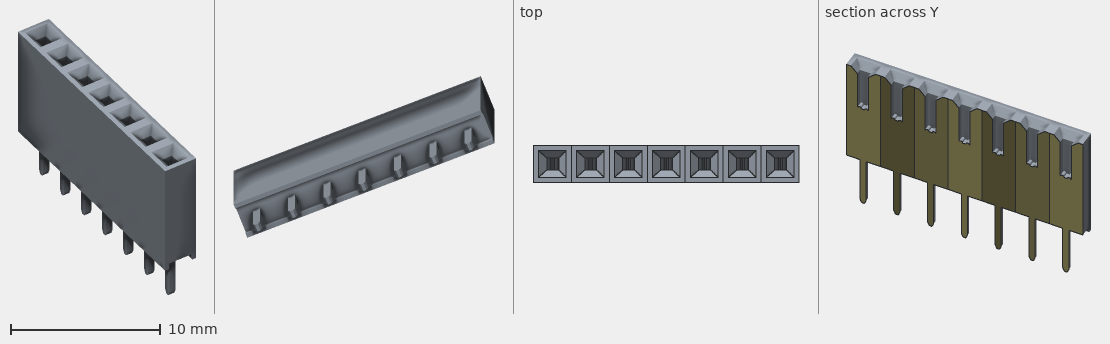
import cadquery as cq

socket_count = 7
pitch = 2.54
row_depth = 2.48
overall_height = 11.88
tail_length = 3.3
body_height = overall_height - tail_length

foot_width = 0.3
channel_width = row_depth - 2 * foot_width
channel_height = 0.48

contact_offset = 0.03

rim = 0.35
funnel_width_x = pitch - 2 * rim
funnel_width_y = row_depth - 2 * rim
funnel_depth = 0.5
hole_side = 0.8
hole_depth = 3.0
hole_floor = body_height - funnel_depth - hole_depth

rib_gap = 0.22
rib_width = (hole_side - rib_gap) / 2
rib_radius = rib_width / 2
cusp_height = 0.015

tail_side = 0.5
tip_height = 0.32
tip_width = 0.22


def make_funnel():
    """Tapered entry, widest at the top face."""
    return (
        cq.Workplane("XY", origin=(0, 0, body_height))
        .rect(funnel_width_x, funnel_width_y)
        .workplane(offset=-funnel_depth)
        .center(contact_offset, 0)
        .rect(hole_side, hole_side)
        .loft(ruled=True)
    )


def make_contact_hole():
    """Square hole whose floor carries the contact ribs and the cusp between them."""
    half_side = hole_side / 2
    half_gap = rib_gap / 2
    rib_center = half_gap + rib_radius
    rib_top = hole_floor + rib_radius
    cusp_middle = (half_gap / 2, hole_floor + cusp_height / 4)
    return (
        cq.Workplane("XZ", origin=(0, half_side, 0))
        .moveTo(-half_side, body_height - funnel_depth)
        .lineTo(-half_side, hole_floor)
        .threePointArc((-rib_center, rib_top), (-half_gap, hole_floor))
        .threePointArc((-cusp_middle[0], cusp_middle[1]), (0, hole_floor + cusp_height))
        .threePointArc(cusp_middle, (half_gap, hole_floor))
        .threePointArc((rib_center, rib_top), (half_side, hole_floor))
        .lineTo(half_side, body_height - funnel_depth)
        .close()
        .extrude(hole_side)
    )


def make_tail():
    """Square tail hanging from the channel roof, narrowed in X at its tip."""
    half_side = tail_side / 2
    half_tip = tip_width / 2
    outline = [
        (-half_side, channel_height),
        (-half_side, tip_height - tail_length),
        (-half_tip, -tail_length),
        (half_tip, -tail_length),
        (half_side, tip_height - tail_length),
        (half_side, channel_height),
    ]
    return cq.Workplane("XZ", origin=(0, half_side, 0)).polyline(outline).close().extrude(tail_side)


def make_socket():
    """One socket of the row, centred on X = 0, with its tail."""
    bottom_up = (True, True, False)
    block = cq.Workplane("XY").box(pitch, row_depth, body_height, centered=bottom_up)
    channel = cq.Workplane("XY").box(pitch, channel_width, channel_height, centered=bottom_up)
    shift = (contact_offset, 0, 0)
    housing = block.cut(channel).cut(make_funnel()).cut(make_contact_hole().translate(shift))
    return housing.union(make_tail().translate(shift))


socket = make_socket()
first_socket_x = -(socket_count - 1) * pitch / 2
sockets = []
for index in range(socket_count):
    socket_x = first_socket_x + index * pitch
    sockets.append(socket.translate((socket_x, 0, 0)).val())

result = cq.Compound.makeCompound(sockets)